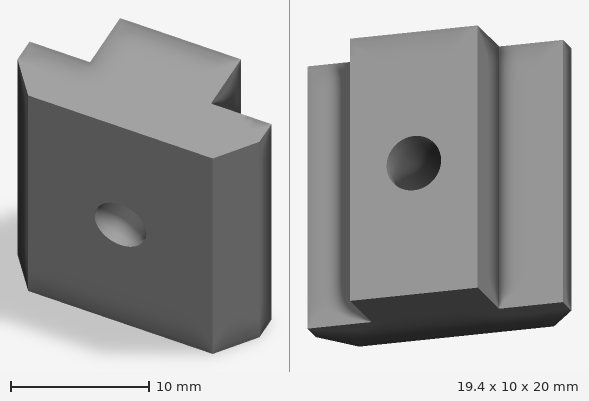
import cadquery as cq

length = 20.0
flange_width = 19.4
total_depth = 10.0
flange_depth = 5.0
stem_width = 9.7
chamfer_width = 2.3
chamfer_depth = 3.0
hole_diameter = 4.15

front_y = -total_depth / 2
back_y = total_depth / 2
shoulder_y = front_y + flange_depth
half_flange = flange_width / 2
half_stem = stem_width / 2

body = (
    cq.Workplane("XY")
    .workplane(offset=-length / 2)
    .moveTo(0, front_y)
    .lineTo(half_flange - chamfer_width, front_y)
    .lineTo(half_flange, front_y + chamfer_depth)
    .lineTo(half_flange, shoulder_y)
    .lineTo(half_stem, shoulder_y)
    .lineTo(half_stem, back_y)
    .lineTo(0, back_y)
    .mirrorY()
    .extrude(length)
)

hole = (
    cq.Workplane("XZ")
    .circle(hole_diameter / 2)
    .extrude(total_depth, both=True)
)

result = body.cut(hole)